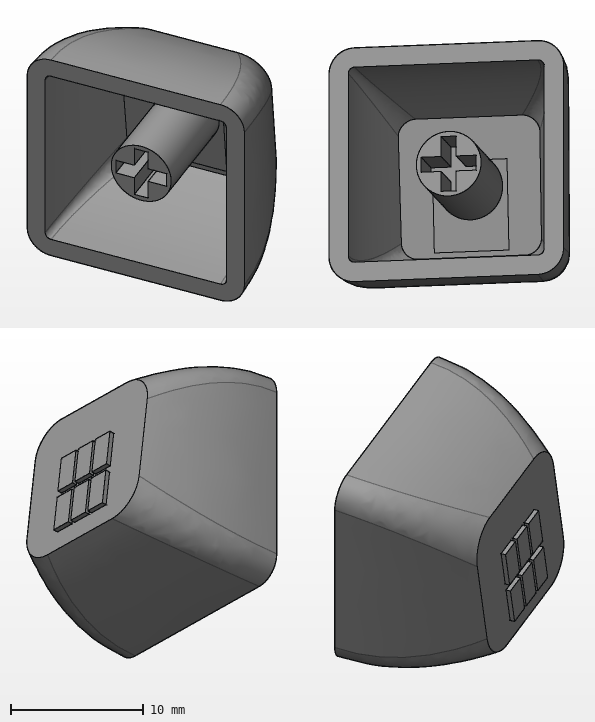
import cadquery as cq
import math

BASE_SIDE = 18.1
BASE_CORNER_RADIUS = 2.0
WALL = 1.5

CROWN_WIDTH = 12.78
CROWN_HEIGHT = 12.45
CROWN_CORNER_RADIUS = 2.72
CROWN_MID_Y = 11.19
CROWN_RISE = 1.47
SECTION_COUNT = 7

STEM_DIAMETER = 5.0
STEM_RECESS = 1.0
CROSS_LENGTH = 4.24
CROSS_ARM_WIDTH = 1.15
CROSS_DEPTH = 3.98

PLATE_WIDTH = 5.75
PLATE_TOP = 2.03
PLATE_BOTTOM = -4.92
PLATE_THICKNESS = WALL / 2
PAD_WIDTH = 1.67
PAD_HEIGHT = 3.0
PAD_PITCH = 1.94
PAD_ROW_GAP = 0.58
PAD_TOP = 1.83
PAD_RAISE = 0.38
PAD_COLUMNS = 3
PAD_ROWS = 2

CROWN_TILT = math.degrees(math.atan2(CROWN_RISE, CROWN_HEIGHT))


def tilted_plane(y, tilt):
    """Plane across the cap at height y, its upper edge leaning towards the rim by tilt degrees.

    Local x is +X, local y runs up the plane and the normal points away from the crown.
    """
    lean = math.radians(tilt)
    return cq.Plane(
        origin=(0, y, 0),
        xDir=(1, 0, 0),
        normal=(0, -math.cos(lean), -math.sin(lean)),
    )


CEILING_MID_Y = CROWN_MID_Y - WALL / math.cos(math.radians(CROWN_TILT))
CEILING_PLANE = tilted_plane(CEILING_MID_Y, CROWN_TILT)
STEM_END_Y = CEILING_MID_Y + WALL / 2


def cap_section(fraction):
    """Rounded rectangle across the cap, from the rim (fraction 0) to the crown (fraction 1).

    The inset grows with the square of the fraction, so the walls leave the rim upright.
    """
    blend = fraction**2
    width = BASE_SIDE + (CROWN_WIDTH - BASE_SIDE) * blend
    height = BASE_SIDE + (CROWN_HEIGHT - BASE_SIDE) * blend
    radius = BASE_CORNER_RADIUS + (CROWN_CORNER_RADIUS - BASE_CORNER_RADIUS) * blend
    tilt = math.degrees(math.atan2(fraction * CROWN_RISE, height))
    slant_height = height / math.cos(math.radians(tilt))
    plane = tilted_plane(fraction * CROWN_MID_Y, tilt)
    outline = cq.Workplane(plane).rect(width, slant_height).val()
    return outline.fillet2D(radius, outline.Vertices())


def make_shell():
    """Hollow cap: one loft through the sections, opened at the rim."""
    sections = [cap_section(i / (SECTION_COUNT - 1)) for i in range(SECTION_COUNT)]
    block = cq.Workplane(cq.Solid.makeLoft(sections))
    return block.faces("<Y").shell(-WALL)


def make_stem():
    """Round post whose far end is buried in the roof, with a cross-shaped socket in its near end."""
    near_end = cq.Workplane(cq.Plane(origin=(0, STEM_RECESS, 0), xDir=(1, 0, 0), normal=(0, 1, 0)))
    post = near_end.circle(STEM_DIAMETER / 2).extrude(STEM_END_Y - STEM_RECESS)
    flat_arm = near_end.rect(CROSS_LENGTH, CROSS_ARM_WIDTH).extrude(CROSS_DEPTH)
    upright_arm = near_end.rect(CROSS_ARM_WIDTH, CROSS_LENGTH).extrude(CROSS_DEPTH)
    return post.cut(flat_arm).cut(upright_arm)


def make_legend():
    """Plate flush with the ceiling and a grid of pads that pass through the roof and stand proud."""
    legend = (
        cq.Workplane(CEILING_PLANE)
        .center(0, (PLATE_TOP + PLATE_BOTTOM) / 2)
        .rect(PLATE_WIDTH, PLATE_TOP - PLATE_BOTTOM)
        .extrude(-PLATE_THICKNESS)
    )
    for row in range(PAD_ROWS):
        pad_y = PAD_TOP - PAD_HEIGHT / 2 - row * (PAD_HEIGHT + PAD_ROW_GAP)
        for column in range(PAD_COLUMNS):
            pad_x = (column - (PAD_COLUMNS - 1) / 2) * PAD_PITCH
            pad = (
                cq.Workplane(CEILING_PLANE)
                .center(pad_x, pad_y)
                .rect(PAD_WIDTH, PAD_HEIGHT)
                .extrude(-(WALL + PAD_RAISE))
            )
            legend = legend.union(pad)
    return legend


legend = make_legend()
housing = make_shell().union(make_stem()).cut(legend)

result = cq.Compound.makeCompound([housing.solids().val(), legend.solids().val()])